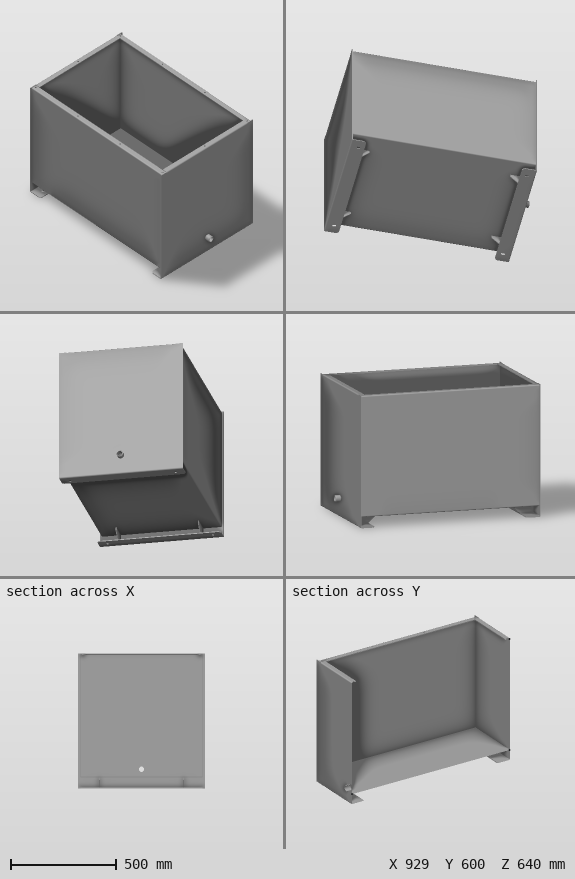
import cadquery as cq
import math

LENGTH = 900.0
WIDTH = 600.0
HEIGHT = 640.0
SHEET = 4.0
BEND_OUTER = 6.0
BEND_INNER = BEND_OUTER - SHEET
FOLD_LEG = 2 * BEND_OUTER

TROUGH_WIDTH = 585.0
FLOOR_HEIGHT = 52.0
RIM_STEP = 3.0
TROUGH_TOP = HEIGHT - RIM_STEP
LONG_RIM = 27.5

END_RIM = 27.0
END_RIM_LENGTH = TROUGH_WIDTH - 2 * LONG_RIM
FOOT_REACH = 71.0
FOOT_CHAMFER = 10.0
FOOT_SLOT_WIDTH = 10.0
FOOT_SLOT_LENGTH = 20.0
FOOT_SLOT_X = 40.0
FOOT_SLOT_EDGE = 44.0

GUSSET_REACH = 108.0
GUSSET_LIP = 13.0
GUSSET_SPACING = 400.0

RIM_HOLE_UPPER = 8.5
RIM_HOLE_LOWER = 6.8
RIM_HOLE_PITCH_X = 290.0
RIM_HOLE_COLUMNS = 4
RIM_HOLE_SPAN_X = RIM_HOLE_PITCH_X * (RIM_HOLE_COLUMNS - 1)
RIM_HOLE_SPAN_Y = 555.0

SOCKET_DIAMETER = 32.0
SOCKET_END_DIAMETER = 27.0
SOCKET_BORE = 25.0
SOCKET_LENGTH = 29.0
SOCKET_CHAMFER_DEPTH = (SOCKET_DIAMETER - SOCKET_END_DIAMETER) / 2
SOCKET_CHAMFER_ANGLE = 33.5
SOCKET_CHAMFER_LENGTH = SOCKET_CHAMFER_DEPTH / math.tan(math.radians(SOCKET_CHAMFER_ANGLE))
SOCKET_HEIGHT = 91.0


def box(x_min, x_max, y_min, y_max, z_min, z_max):
    """Axis-aligned box given by its limits."""
    size = (x_max - x_min, y_max - y_min, z_max - z_min)
    return cq.Workplane("XY").box(*size, centered=False).translate((x_min, y_min, z_min))


def both_ends(solid):
    """Join a solid at the -X end with its mirror image at the +X end."""
    mirrored = solid.mirror("YZ", (LENGTH / 2, 0, 0))
    return solid.union(mirrored)


def make_trough():
    """Folded sheet with a floor, two long walls and inward rims."""
    half = TROUGH_WIDTH / 2
    outside = box(SHEET, LENGTH - SHEET, -half, half, FLOOR_HEIGHT, TROUGH_TOP)
    outside = outside.edges("|X").fillet(BEND_OUTER)
    inside = box(
        SHEET, LENGTH - SHEET,
        -half + SHEET, half - SHEET,
        FLOOR_HEIGHT + SHEET, TROUGH_TOP - SHEET,
    ).edges("|X").fillet(BEND_INNER)
    opening_half = half - LONG_RIM
    opening = box(SHEET, LENGTH - SHEET, -opening_half, opening_half, HEIGHT / 2, HEIGHT)
    return outside.cut(inside).cut(opening)


def make_fold(reach, half_length):
    """Angle strip along Y: upright leg at x = 0, rounded fold, flat leg on z = 0."""
    outside = box(0, reach, -half_length, half_length, 0, FOLD_LEG)
    outside = outside.edges("<X and <Z").fillet(BEND_OUTER)
    inside = box(SHEET, reach + FOLD_LEG, -half_length, half_length, SHEET, 2 * FOLD_LEG)
    inside = inside.edges("<X and <Z").fillet(BEND_INNER)
    return outside.cut(inside)


def make_end_plate():
    """End plate at x = 0 with its rim fold at the top and its foot fold at the bottom."""
    half = WIDTH / 2
    rim_half = END_RIM_LENGTH / 2
    plate = box(0, SHEET, -half, half, FOLD_LEG, HEIGHT)
    plate = plate.cut(box(0, SHEET, -rim_half, rim_half, HEIGHT - FOLD_LEG, HEIGHT))

    rim = make_fold(END_RIM, rim_half).mirror("XY").translate((0, 0, HEIGHT))

    foot = make_fold(FOOT_REACH, half).edges("|Z and >X").chamfer(FOOT_CHAMFER)
    slot_y = half - FOOT_SLOT_EDGE
    foot_slots = (
        cq.Workplane("XY")
        .pushPoints([(FOOT_SLOT_X, -slot_y), (FOOT_SLOT_X, slot_y)])
        .slot2D(FOOT_SLOT_LENGTH, FOOT_SLOT_WIDTH)
        .extrude(SHEET)
    )
    return plate.union(rim).union(foot.cut(foot_slots))


def make_gussets():
    """Two upright plates standing on the foot at the -X end and carrying the floor."""
    outline = [
        (SHEET / 2, SHEET / 2 + BEND_INNER),
        (SHEET / 2 + BEND_INNER, SHEET / 2),
        (FOOT_REACH, SHEET / 2),
        (FOOT_REACH, SHEET),
        (GUSSET_REACH, FLOOR_HEIGHT - GUSSET_LIP),
        (GUSSET_REACH, FLOOR_HEIGHT),
        (SHEET / 2, FLOOR_HEIGHT),
    ]
    gusset = cq.Workplane("XZ").polyline(outline).close().extrude(SHEET / 2, both=True)
    gussets = cq.Workplane("XY")
    for side in (-1, 1):
        gussets = gussets.union(gusset.translate((0, side * GUSSET_SPACING / 2, 0)))
    return gussets


def make_stepped_holes(points, rim_top):
    """Stepped cutters through a rim whose upper face is at rim_top."""
    lower = (
        cq.Workplane("XY", origin=(0, 0, rim_top - SHEET))
        .pushPoints(points)
        .circle(RIM_HOLE_LOWER / 2)
        .extrude(SHEET)
    )
    upper = (
        cq.Workplane("XY", origin=(0, 0, rim_top - SHEET / 2))
        .pushPoints(points)
        .circle(RIM_HOLE_UPPER / 2)
        .extrude(SHEET / 2)
    )
    return lower.union(upper)


def make_rim_holes():
    """Cutters for the evenly spaced holes of the long rims and the middle hole of each end rim."""
    first_x = (LENGTH - RIM_HOLE_SPAN_X) / 2
    last_x = first_x + RIM_HOLE_SPAN_X
    long_rim_points = []
    for column in range(RIM_HOLE_COLUMNS):
        x = first_x + column * RIM_HOLE_PITCH_X
        long_rim_points.append((x, -RIM_HOLE_SPAN_Y / 2))
        long_rim_points.append((x, RIM_HOLE_SPAN_Y / 2))
    end_rim_points = [(first_x, 0), (last_x, 0)]
    long_rim_holes = make_stepped_holes(long_rim_points, TROUGH_TOP)
    return long_rim_holes.union(make_stepped_holes(end_rim_points, HEIGHT))


def add_drain_socket(tank):
    """Socket on the +X end plate, bored through into the tank."""
    end_radius = SOCKET_END_DIAMETER / 2
    radius = SOCKET_DIAMETER / 2
    half_profile = [
        (0, 0),
        (0, end_radius),
        (SOCKET_CHAMFER_LENGTH, radius),
        (SOCKET_LENGTH - SOCKET_CHAMFER_LENGTH, radius),
        (SOCKET_LENGTH, end_radius),
        (SOCKET_LENGTH, 0),
    ]
    socket = (
        cq.Workplane("XZ", origin=(LENGTH, 0, SOCKET_HEIGHT))
        .polyline(half_profile)
        .close()
        .revolve(360, (0, 0), (1, 0))
    )
    bore = (
        cq.Workplane("YZ", origin=(LENGTH - SHEET, 0, SOCKET_HEIGHT))
        .circle(SOCKET_BORE / 2)
        .extrude(SHEET + SOCKET_LENGTH)
    )
    return tank.union(socket).cut(bore)


tank = make_trough()
tank = tank.union(both_ends(make_end_plate()))
tank = tank.union(both_ends(make_gussets()))
tank = tank.cut(make_rim_holes())
result = add_drain_socket(tank)